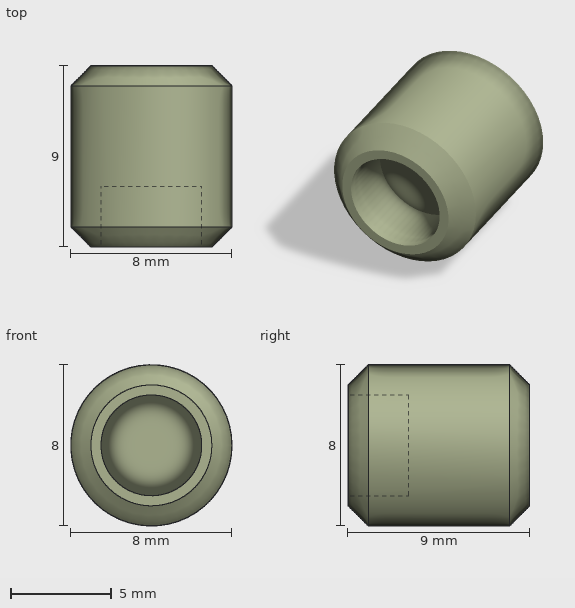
import cadquery as cq

length = 9.0
outer_diameter = length * 8 / 9
bore_diameter = length * 5 / 9
chamfer = length / 9
bore_depth = length * 3 / 9

body = cq.Workplane("XZ", origin=(0, length / 2, 0)).circle(outer_diameter / 2).extrude(length)
body = body.faces("<Y or >Y").chamfer(chamfer)

result = body.faces("<Y").workplane().hole(bore_diameter, bore_depth)